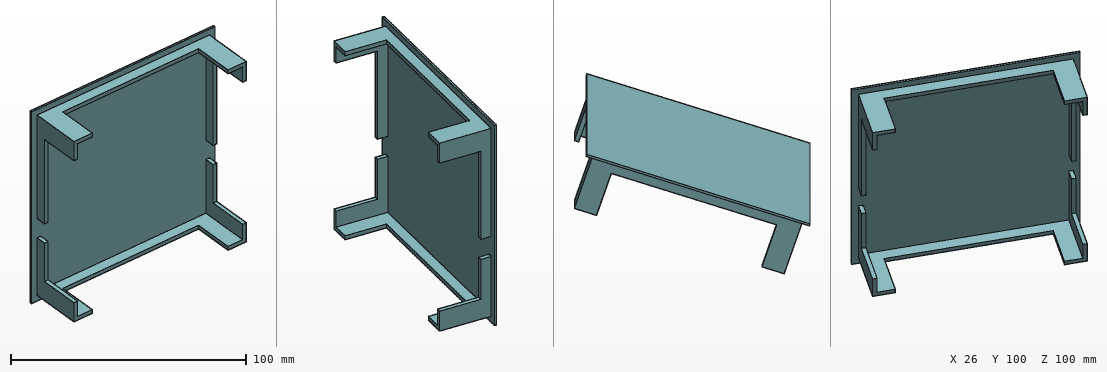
import cadquery as cq

plate_side = 100.0
plate_thickness = 1.0

rim_inset = 3.0
wall = 2.0
rim_depth = 5.0
leg_depth = 25.0
leg_width = 10.0

gap_width = 10.0
gap_center_z = -12.0

rim_side = plate_side - 2 * rim_inset


def square_frame(depth):
    """Hollow square wall rising in +X from the back of the plate."""
    return (
        cq.Workplane("YZ")
        .workplane(offset=plate_thickness)
        .rect(rim_side, rim_side)
        .rect(rim_side - 2 * wall, rim_side - 2 * wall)
        .extrude(depth)
    )


def corner_legs():
    """L-shaped legs: the tall frame kept only at its four corners."""
    corner_spacing = rim_side - leg_width
    corner_blocks = (
        cq.Workplane("YZ")
        .workplane(offset=plate_thickness)
        .rarray(corner_spacing, corner_spacing, 2, 2)
        .rect(leg_width, leg_width)
        .extrude(leg_depth)
    )
    return square_frame(leg_depth).intersect(corner_blocks)


def side_gap():
    """Bar across the whole width that opens both side walls."""
    return cq.Workplane("XY").box(
        rim_depth, plate_side, gap_width, centered=(False, True, True)
    ).translate((plate_thickness, 0, gap_center_z))


plate = cq.Workplane("YZ").rect(plate_side, plate_side).extrude(plate_thickness)
rim = square_frame(rim_depth).cut(side_gap())
result = plate.union(rim).union(corner_legs())